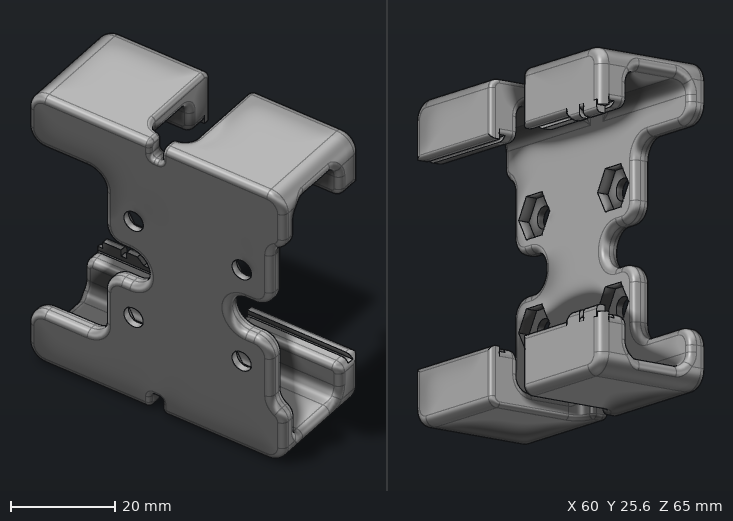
import cadquery as cq
import math

width = 60.0
depth = 25.6
height = 65.0
half_width = width / 2
half_height = height / 2

wall = 4.0
corner_radius = 4.0
lip_thickness = 6.6
lip_length = 12.0
lip_corner_radius = 2.0
cavity_radius = 3.0
cavity_top = half_height - wall
cavity_back = depth - lip_thickness
lip_end = half_height - lip_length

front_rounding = 1.5
cavity_rounding = 1.5
back_rounding = 2.0
slot_rounding = 1.0

bay_radius = 4.0
bite_radius = 4.0
left_arm_end = 20.0
left_step_x = -12.0
left_bite_tip = -2.0
right_arm_end = 22.3
right_step_x = 27.0
right_step_radius = 3.0
right_bite_tip = 16.95

slot_width = 10.0
slot_radius = 3.0
notch_width = 2.8
notch_depth = 3.85
notch_radius = 1.0

hole_diameter = 4.5
hole_places = ((-5.2, 11.7), (20.1, 11.1))
recess_across_corners = 9.9
recess_depth = 2.5

strip_thickness = 2.0
strip_rounding = 1.0
groove_width = 1.5
groove_depth = 1.0
stop_height = 1.5
stop_rounding = 1.0
outer_stop_x = (-28.8, -24.5)
inner_stop_x = (-23.2, -19.2)
strip_front = depth - strip_thickness

overcut = 3.25
near = 0.005

past_sides = (-half_width - overcut, half_width + overcut)


def box(x_range, y_range, z_range):
    """Box between two limits along each axis."""
    sizes = [limits[1] - limits[0] for limits in (x_range, y_range, z_range)]
    corner = (x_range[0], y_range[0], z_range[0])
    return cq.Workplane("XY").box(*sizes, centered=False).translate(corner)


def on_both_sides(solid):
    """The solid together with its mirror image across Z = 0."""
    return solid.union(solid.mirror("XY"))


def make_channel():
    """Rounded block hollowed along X and open at the back between the two lips."""
    block = box((-half_width, half_width), (0, depth), (-half_height, half_height))
    block = block.edges("|Y").fillet(corner_radius)
    block = block.faces(">Y").edges().fillet(back_rounding)
    cavity = box(past_sides, (wall, cavity_back), (-cavity_top, cavity_top))
    cavity = cavity.edges("|X").fillet(cavity_radius)
    mouth = box(past_sides, (cavity_back - overcut, depth + overcut), (-lip_end, lip_end))
    return block.cut(cavity).cut(mouth)


def start_bay(bite_tip, step_x, outward):
    """Upper half of a bite and the plate corner beside it; outward is -1 on the left, 1 on the right."""
    bite_x = bite_tip + outward * bite_radius
    outline = cq.Workplane("XZ").moveTo(bite_tip, 0)
    outline = outline.radiusArc((bite_x, bite_radius), outward * bite_radius)
    outline = outline.lineTo(step_x - outward * bay_radius, bite_radius)
    return outline.radiusArc((step_x, bite_radius + bay_radius), -outward * bay_radius)


def finish_bay(outline, end_x):
    """Close the outline beyond the part and make a tool that ends in mid-cavity."""
    mid_cavity = (wall + cavity_back) / 2
    return on_both_sides(outline.lineTo(end_x, 0).close().extrude(-mid_cavity))


def left_bay():
    """Deep opening between the two left arms."""
    end_x = past_sides[0]
    outline = start_bay(left_bite_tip, left_step_x, -1)
    outline = outline.lineTo(left_step_x, left_arm_end - bay_radius)
    outline = outline.radiusArc((left_step_x - bay_radius, left_arm_end), -bay_radius)
    outline = outline.lineTo(-half_width + corner_radius, left_arm_end)
    outline = outline.radiusArc((-half_width, left_arm_end + corner_radius), corner_radius)
    outline = outline.lineTo(end_x, left_arm_end + corner_radius)
    return finish_bay(outline, end_x)


def right_bay():
    """Shallow recess in the right edge, blended into each arm by two equal and opposite arcs."""
    end_x = past_sides[1]
    half_step = (half_width - right_step_x) / 2
    half_rise = math.sqrt(half_step * (2 * right_step_radius - half_step))
    outline = start_bay(right_bite_tip, right_step_x, 1)
    outline = outline.lineTo(right_step_x, right_arm_end - 2 * half_rise)
    blend_middle = (right_step_x + half_step, right_arm_end - half_rise)
    outline = outline.radiusArc(blend_middle, right_step_radius)
    outline = outline.radiusArc((half_width, right_arm_end), -right_step_radius)
    outline = outline.lineTo(end_x, right_arm_end)
    return finish_bay(outline, end_x)


def slot_tool():
    """Slot across both walls and lips, from the back to the inner face of the plate."""
    z_range = (-half_height - overcut, half_height + overcut)
    tool = box((-slot_width / 2, slot_width / 2), (wall, depth + overcut), z_range)
    return tool.edges("|Z and <Y").fillet(slot_radius)


def notch_tool():
    """Notches through the plate at the middle of its top and bottom edges."""
    z_range = (half_height - notch_depth, half_height + overcut)
    tool = box((-notch_width / 2, notch_width / 2), (-overcut, wall + overcut), z_range)
    return on_both_sides(tool.edges("|Y and <Z").fillet(notch_radius))


def lip_corner_tool(x, inward, back):
    """Waste outside the rounded lip corners at x, up to Y = back; inward is the X sign into the lip."""
    outline = cq.Workplane("XZ", origin=(0, cavity_back, 0)).moveTo(x, lip_end)
    outline = outline.lineTo(x + inward * lip_corner_radius, lip_end)
    outline = outline.radiusArc((x, lip_end + lip_corner_radius), inward * lip_corner_radius)
    return on_both_sides(outline.close().extrude(cavity_back - back))


def on_cavity_rim(edge):
    """True for the plate's inner edges in the bays and the inner edges of the lip ends."""
    centre = edge.Center()
    on_plate = abs(centre.y - wall) < near and abs(centre.x) > slot_width / 2
    on_lip = abs(centre.y - cavity_back) < near
    return (on_plate and abs(centre.z) < left_arm_end + near) or (on_lip and abs(centre.z) < lip_end + near)


def on_slot_rim(edge):
    """True for the slot edges on the outside of the walls and the notch edges on the plate's inner face."""
    centre = edge.Center()
    on_wall = abs(abs(centre.z) - half_height) < near and abs(centre.x) < slot_width / 2 + near
    off_plate_front = centre.y > front_rounding + near
    on_notch = abs(centre.y - wall) < near and abs(centre.x) < notch_width / 2 + near
    return (on_wall and off_plate_front) or on_notch


def round_edges(solid, belongs, radius):
    """Round the edges that belong, together with those that continue them smoothly."""
    chosen = [edge for edge in solid.edges().vals() if belongs(edge)]
    return solid.newObject(chosen).fillet(radius)


def groove_tool():
    """Groove along the end of each lip, just ahead of the strip."""
    y_range = (strip_front - groove_width, strip_front)
    return on_both_sides(box(past_sides, y_range, (lip_end - overcut, lip_end + groove_depth)))


def strip_edge_tool():
    """Waste outside the rounded back edge of each strip, from the outer stop to the right side."""
    x_range = (outer_stop_x[0], past_sides[1])
    corner = box(x_range, (depth - strip_rounding, depth), (lip_end, lip_end + strip_rounding))
    kept = corner.edges("|X and >Y and <Z").fillet(strip_rounding * 0.999)
    return on_both_sides(corner.cut(kept))


def make_stop(x_range):
    """Stop standing on the strip, rounded along its back edge."""
    stop = box(x_range, (strip_front, depth), (lip_end - stop_height, lip_end + groove_depth))
    return stop.edges("|X and >Y and <Z").fillet(stop_rounding)


body = make_channel().cut(left_bay()).cut(right_bay())
body = body.faces("<Y").edges().fillet(front_rounding)
body = body.cut(slot_tool()).cut(notch_tool())

body = body.cut(lip_corner_tool(-half_width, 1, strip_front))
body = body.cut(lip_corner_tool(-slot_width / 2, -1, strip_front))
body = body.cut(lip_corner_tool(slot_width / 2, 1, strip_front))
body = body.cut(lip_corner_tool(half_width, -1, depth))

body = round_edges(body, on_slot_rim, slot_rounding)
body = round_edges(body, on_cavity_rim, cavity_rounding)

body = body.cut(groove_tool()).cut(strip_edge_tool())
outer_stop = make_stop(outer_stop_x)
inner_stop = make_stop(inner_stop_x)
slope = (
    cq.Workplane("XZ")
    .moveTo(inner_stop_x[1], lip_end)
    .lineTo(inner_stop_x[1], lip_end - stop_height)
    .lineTo(inner_stop_x[1] - stop_height, lip_end - stop_height)
    .close()
    .extrude(-depth)
)
body = body.union(on_both_sides(outer_stop)).union(on_both_sides(inner_stop.cut(slope)))

places = [(x, side * z) for x, z in hole_places for side in (-1, 1)]
holes = cq.Workplane("XZ").pushPoints(places).circle(hole_diameter / 2).extrude(-wall)
recesses = (
    cq.Workplane("XZ", origin=(0, wall, 0))
    .pushPoints(places)
    .polygon(6, recess_across_corners)
    .extrude(recess_depth)
)
result = body.cut(holes).cut(recesses)